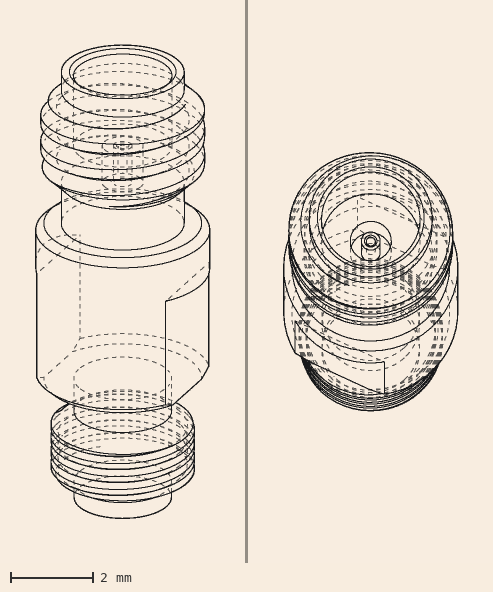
import cadquery as cq
import math


TOTAL_LENGTH = 11.52
SMALL_THREAD_BOTTOM = 0.43
SMALL_THREAD_TOP = 2.33
BODY_BOTTOM = 3.22
BODY_TOP = 7.42
LARGE_THREAD_BOTTOM = 8.52
LARGE_THREAD_TOP = 11.02

SMALL_NECK_RADIUS = 1.19
SMALL_THREAD_RADIUS = 1.75
BODY_RADIUS = 2.125
LARGE_NECK_RADIUS = 1.5
LARGE_THREAD_RADIUS = 2.0

SMALL_THREAD_CHAMFER_ANGLE = 30
LARGE_THREAD_CHAMFER_ANGLE = 45
BODY_CHAMFER_WIDTH = 0.2
BODY_CHAMFER_HEIGHT = 0.18

THREAD_ANGLE = 60
GROOVE_MARGIN = 0.05
SMALL_PITCH = 0.35
SMALL_GROOVE_DEPTH = 0.175
SMALL_GROOVE_START = 0.346
SMALL_GROOVE_TURNS = 5.02
LARGE_PITCH = 0.7
LARGE_GROOVE_DEPTH = 0.38
LARGE_GROOVE_START = 8.437
LARGE_GROOVE_TURNS = 3.55

FLAT_DISTANCE = 1.75
FLAT_TOP = 6.2
FLAT_RUNOUT_ANGLE = 30

BORE_RADIUS = 1.2
BORE_DEPTH = 2.0
BORE_CHAMFER = 0.1
AIR_LINE_RADIUS = 0.5
AIR_LINE_DEPTH = 1.0
PIN_RADIUS = 0.23
SOCKET_RADIUS = 0.11
SOCKET_DEPTH = 0.8
SOCKET_CHAMFER = 0.04


def revolve_about_z(plane, profile):
    """Full revolution of a closed (radius, height) profile, starting from a plane through Z."""
    return cq.Workplane(plane).polyline(profile).close().revolve(360, (0, 0), (0, 1))


def make_turned_shape():
    """Solid of revolution with both connectors and the body, before any cuts.

    It is revolved from the YZ plane, so its seam stays clear of the groove ends on the X axis.
    """
    small_step = SMALL_THREAD_RADIUS - SMALL_NECK_RADIUS
    large_step = LARGE_THREAD_RADIUS - LARGE_NECK_RADIUS
    small_chamfer = small_step * math.tan(math.radians(SMALL_THREAD_CHAMFER_ANGLE))
    large_chamfer = large_step * math.tan(math.radians(LARGE_THREAD_CHAMFER_ANGLE))
    body_end_radius = BODY_RADIUS - BODY_CHAMFER_WIDTH
    profile = [
        (0, 0),
        (SMALL_NECK_RADIUS, 0),
        (SMALL_NECK_RADIUS, SMALL_THREAD_BOTTOM),
        (SMALL_THREAD_RADIUS, SMALL_THREAD_BOTTOM + small_chamfer),
        (SMALL_THREAD_RADIUS, SMALL_THREAD_TOP - small_chamfer),
        (SMALL_NECK_RADIUS, SMALL_THREAD_TOP),
        (SMALL_NECK_RADIUS, BODY_BOTTOM),
        (body_end_radius, BODY_BOTTOM),
        (BODY_RADIUS, BODY_BOTTOM + BODY_CHAMFER_HEIGHT),
        (BODY_RADIUS, BODY_TOP - BODY_CHAMFER_HEIGHT),
        (body_end_radius, BODY_TOP),
        (LARGE_NECK_RADIUS, BODY_TOP),
        (LARGE_NECK_RADIUS, LARGE_THREAD_BOTTOM),
        (LARGE_THREAD_RADIUS, LARGE_THREAD_BOTTOM + large_chamfer),
        (LARGE_THREAD_RADIUS, LARGE_THREAD_TOP - large_chamfer),
        (LARGE_NECK_RADIUS, LARGE_THREAD_TOP),
        (LARGE_NECK_RADIUS, TOTAL_LENGTH),
        (0, TOTAL_LENGTH),
    ]
    return revolve_about_z("YZ", profile)


def make_thread_groove(major_radius, depth, pitch, start_height, turns):
    """V-shaped helical cutter that starts on the -X side and climbs counter-clockwise."""
    root_radius = major_radius - depth
    outer_radius = major_radius + GROOVE_MARGIN
    half_opening = (outer_radius - root_radius) * math.tan(math.radians(THREAD_ANGLE / 2))
    helix = cq.Wire.makeHelix(pitch, pitch * turns, major_radius, center=cq.Vector(0, 0, start_height))
    section = [
        (root_radius, start_height),
        (outer_radius, start_height - half_opening),
        (outer_radius, start_height + half_opening),
    ]
    groove = cq.Workplane("XZ").polyline(section).close().sweep(cq.Workplane(obj=helix), isFrenet=True)
    return groove.rotate((0, 0, 0), (0, 0, 1), 180)


def make_flat_cutter(side, runout_angle):
    """Prism that cuts one wrench flat on the given X side, open towards the body's lower end."""
    reach = BODY_RADIUS - FLAT_DISTANCE + GROOVE_MARGIN
    outer = FLAT_DISTANCE + reach
    outer_top = FLAT_TOP + reach * math.tan(math.radians(runout_angle))
    section = [
        (side * FLAT_DISTANCE, BODY_BOTTOM),
        (side * outer, BODY_BOTTOM),
        (side * outer, outer_top),
        (side * FLAT_DISTANCE, FLAT_TOP),
    ]
    return cq.Workplane("XZ").polyline(section).close().extrude(BODY_RADIUS, both=True)


def make_bore_cutter():
    """Chamfered bore, with an annular air line left around a pin that has a chamfered socket."""
    floor = TOTAL_LENGTH - BORE_DEPTH
    bore_profile = [
        (0, floor),
        (BORE_RADIUS, floor),
        (BORE_RADIUS, TOTAL_LENGTH - BORE_CHAMFER),
        (BORE_RADIUS + BORE_CHAMFER, TOTAL_LENGTH),
        (0, TOTAL_LENGTH),
    ]
    socket_profile = [
        (0, floor - SOCKET_DEPTH),
        (SOCKET_RADIUS, floor - SOCKET_DEPTH),
        (SOCKET_RADIUS, floor - SOCKET_CHAMFER),
        (SOCKET_RADIUS + SOCKET_CHAMFER, floor),
        (0, floor),
    ]
    bore = revolve_about_z("XZ", bore_profile)
    socket = revolve_about_z("XZ", socket_profile)
    air_line = (
        cq.Workplane("XY", origin=(0, 0, floor))
        .circle(AIR_LINE_RADIUS)
        .circle(PIN_RADIUS)
        .extrude(-AIR_LINE_DEPTH)
    )
    return bore.union(air_line).union(socket)


small_groove = make_thread_groove(
    SMALL_THREAD_RADIUS, SMALL_GROOVE_DEPTH, SMALL_PITCH, SMALL_GROOVE_START, SMALL_GROOVE_TURNS
)
large_groove = make_thread_groove(
    LARGE_THREAD_RADIUS, LARGE_GROOVE_DEPTH, LARGE_PITCH, LARGE_GROOVE_START, LARGE_GROOVE_TURNS
)

sloped_flat = make_flat_cutter(-1, FLAT_RUNOUT_ANGLE)
square_flat = make_flat_cutter(1, 0)

result = (
    make_turned_shape()
    .cut(small_groove)
    .cut(large_groove)
    .cut(sloped_flat)
    .cut(square_flat)
    .cut(make_bore_cutter())
)